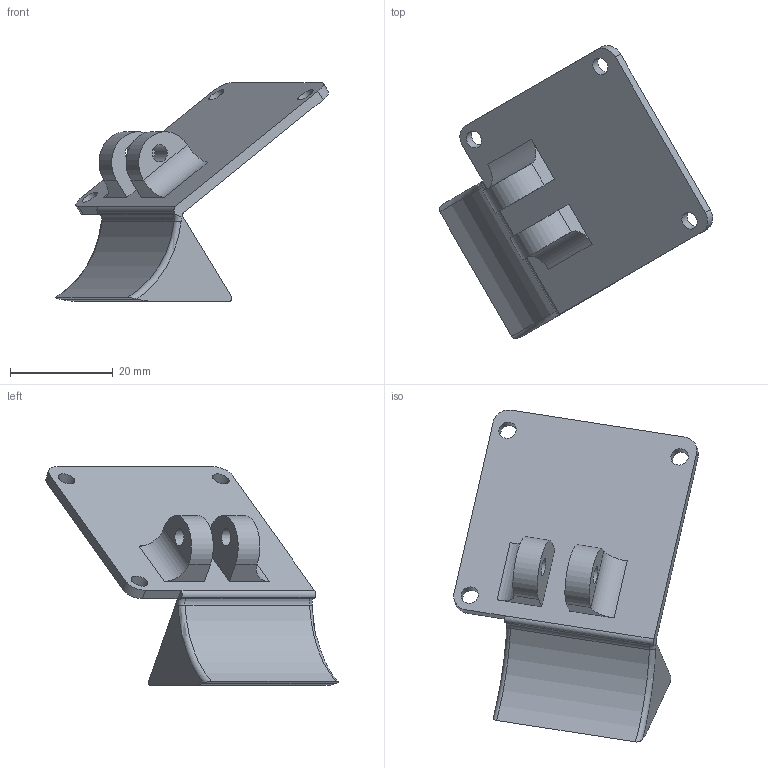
import cadquery as cq
import math

plate_tilt = 35.0
heading = 30.0

plate_width = 41.0
plate_length = 42.0
plate_thickness = 2.0
corner_radius = 3.0
hole_diameter = 3.4
hole_spacing = 34.7
hole_margin = 3.1

lug_start = 3.0
lug_width = 12.0
lug_thickness = 4.9
lug_gap = 5.6
lug_shoulder_height = 4.1
lug_hole_height = 6.3
lug_radius = lug_width / 2
lug_middle = lug_start + lug_radius
lug_top = lug_shoulder_height + lug_radius
flare_radius = lug_shoulder_height

wedge_width = 30.0
wedge_depth = 18.55
wedge_side = -plate_width / 2
wedge_middle = wedge_side + wedge_width / 2
flange_front = -1.0
flange_back = 0.15
fold_radius = -flange_front
heel_radius = 0.6
back_neck_radius = 0.5

trough_radius = 19.5
trough_center_x = -19.15
trough_center_z = -0.4
front_neck_radius = 2.0
trough_edge_radius = 1.0

lip_height = 0.8
lip_angle = 12.0
lip_curve_height = 0.42

overlap = 1.0


def to_plate_frame(x, z):
    """Move a level side-profile point into the flat plate's frame."""
    tilt = math.radians(plate_tilt)
    return (
        x * math.cos(tilt) + z * math.sin(tilt),
        z * math.cos(tilt) - x * math.sin(tilt),
    )


def point_on_circle(center, radius, angle):
    return (center[0] + radius * math.cos(angle), center[1] + radius * math.sin(angle))


def angle_from(center, point):
    return math.atan2(point[1] - center[1], point[0] - center[0])


def edge_near(body, y, profile_point):
    """The edge whose middle is closest to a profile point at a given y."""
    x, z = profile_point
    return body.edges(cq.selectors.NearestToPointSelector((x, y, z)))


def make_plate():
    plate = cq.Workplane("XY").box(
        plate_length, plate_width, plate_thickness, centered=(False, True, False)
    )
    plate = plate.translate((0, 0, -plate_thickness))
    plate = plate.edges("|Z").edges(">X or >Y").fillet(corner_radius)
    near = hole_margin
    far = near + hole_spacing
    side = hole_spacing / 2
    return (
        plate.faces(">Z")
        .workplane(origin=(0, 0, 0))
        .pushPoints([(near, side), (far, side), (far, -side)])
        .hole(hole_diameter)
    )


def make_lug():
    """The lug on the +y side, flared into the plate on its outer face."""
    inner = lug_gap / 2
    outer = inner + lug_thickness
    flare_end = outer + flare_radius
    lug_end = lug_start + lug_width
    flare_center = (flare_end, flare_radius)
    flare_middle = point_on_circle(flare_center, flare_radius, math.radians(225))
    section = (
        cq.Workplane("YZ", origin=(lug_start, 0, 0))
        .moveTo(inner, -overlap)
        .lineTo(inner, lug_top)
        .lineTo(outer, lug_top)
        .lineTo(outer, flare_radius)
        .threePointArc(flare_middle, (flare_end, 0))
        .lineTo(flare_end, -overlap)
        .close()
        .extrude(lug_width)
    )
    outline = (
        cq.Workplane("XZ", origin=(0, flare_end, 0))
        .moveTo(lug_start, -overlap)
        .lineTo(lug_start, lug_shoulder_height)
        .threePointArc((lug_middle, lug_top), (lug_end, lug_shoulder_height))
        .lineTo(lug_end, -overlap)
        .close()
        .extrude(flare_end)
    )
    bore = (
        cq.Workplane("XZ", origin=(lug_middle, flare_end, lug_hole_height))
        .circle(hole_diameter / 2)
        .extrude(flare_end)
    )
    return section.intersect(outline).cut(bore)


def front_neck_center(trough_center):
    """Centre of the arc that touches the flange's front and the inside of the trough circle."""
    x = flange_front - front_neck_radius
    reach = trough_radius - front_neck_radius
    return (x, trough_center[1] - math.sqrt(reach**2 - (x - trough_center[0]) ** 2))


def make_flange(neck_top):
    """Web that carries the wedge, rounded over into the plate's top face."""
    fold_center = (0, -fold_radius)
    return (
        cq.Workplane("XZ", origin=(0, wedge_side, 0))
        .moveTo(flange_back, 0)
        .lineTo(0, 0)
        .threePointArc(
            point_on_circle(fold_center, fold_radius, math.radians(135)),
            (flange_front, -fold_radius),
        )
        .lineTo(flange_front, neck_top)
        .lineTo(flange_back, -plate_thickness - overlap)
        .close()
        .extrude(-wedge_width)
    )


def make_wedge(trough_center, neck_center):
    tilt = math.radians(plate_tilt)
    slant = math.radians(lip_angle)
    neck_top = neck_center[1]

    tip_z = lip_height - wedge_depth
    tip_x = trough_center_x + math.sqrt(trough_radius**2 - (tip_z - trough_center_z) ** 2)
    curve_x = tip_x + (lip_height - lip_curve_height) / math.tan(slant)
    bottom_x = curve_x + lip_curve_height / math.tan(slant / 2)
    heel_x = (flange_back + wedge_depth * math.sin(tilt)) / math.cos(tilt)
    tip = to_plate_frame(tip_x, tip_z)
    curve_start = to_plate_frame(curve_x, lip_curve_height - wedge_depth)
    bottom_start = to_plate_frame(bottom_x, -wedge_depth)
    heel = to_plate_frame(heel_x, -wedge_depth)

    touch_angle = angle_from(trough_center, neck_center)
    trough_middle_angle = (touch_angle + angle_from(trough_center, tip)) / 2
    trough_middle = point_on_circle(trough_center, trough_radius, trough_middle_angle)
    wedge = (
        cq.Workplane("XZ", origin=(0, wedge_side, 0))
        .moveTo(flange_front, neck_top)
        .threePointArc(
            point_on_circle(neck_center, front_neck_radius, touch_angle / 2),
            point_on_circle(neck_center, front_neck_radius, touch_angle),
        )
        .threePointArc(trough_middle, tip)
        .lineTo(*curve_start)
        .tangentArcPoint(bottom_start, relative=False)
        .lineTo(*heel)
        .lineTo(flange_back, neck_top)
        .close()
        .extrude(-wedge_width)
    )
    wedge = edge_near(wedge, wedge_middle, heel).fillet(heel_radius)
    for side in (wedge_side, wedge_side + wedge_width):
        wedge = edge_near(wedge, side, trough_middle).fillet(trough_edge_radius)
    return wedge


def make_body():
    trough_center = to_plate_frame(trough_center_x, trough_center_z)
    neck_center = front_neck_center(trough_center)
    body = make_plate().union(make_flange(neck_center[1])).union(make_wedge(trough_center, neck_center))
    back_corner = (flange_back, -plate_thickness)
    body = edge_near(body, wedge_middle, back_corner).fillet(back_neck_radius)
    lug = make_lug()
    return body.union(lug).union(lug.mirror("XZ"))


origin = (0, 0, 0)
result = make_body().rotate(origin, (0, 1, 0), -plate_tilt).rotate(origin, (0, 0, 1), heading)